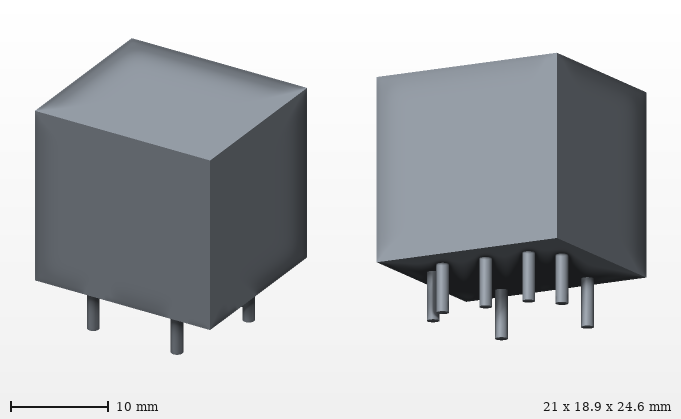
import cadquery as cq

housing_length = 21.0
housing_depth = 18.9
overall_height = 24.6

pin_diameter = 1.3
pin_length = 5.1
housing_height = overall_height - pin_length

inner_pin_x = 5.02
outer_pin_x = 7.5
front_row_y = -6.99
middle_row_y = 2.95
back_row_y = 5.45

pin_positions = [
    (-inner_pin_x, front_row_y),
    (inner_pin_x, front_row_y),
    (-outer_pin_x, middle_row_y),
    (outer_pin_x, middle_row_y),
    (-inner_pin_x, back_row_y),
    (0, back_row_y),
    (inner_pin_x, back_row_y),
]


def make_housing():
    """Plain rectangular block standing on Z = 0."""
    return cq.Workplane("XY").box(
        housing_length, housing_depth, housing_height, centered=(True, True, False)
    )


def make_pin(x, y):
    """Round pin reaching down from the housing underside."""
    return cq.Workplane("XY").center(x, y).circle(pin_diameter / 2).extrude(-pin_length)


housing = make_housing()
pins = [make_pin(x, y) for x, y in pin_positions]

result = cq.Compound.makeCompound([housing.val(), *[pin.val() for pin in pins]])